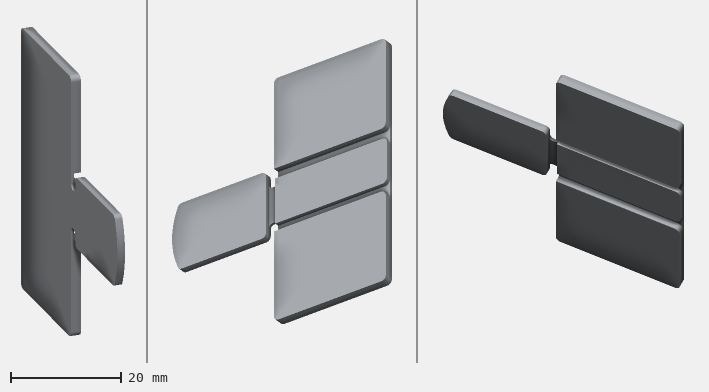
import cadquery as cq

PLATE_LENGTH = 24.95
PLATE_HEIGHT = 51.5
PLATE_THICKNESS = 1.9
CORNER_RADIUS = 1.0

TOTAL_LENGTH = 47.95
TAB_HEIGHT = 14.0
TAB_THICKNESS = 1.5
TAB_END_RADIUS = 16.5
NECK_LENGTH = 2.05
NECK_HEIGHT = 7.6
NECK_THICKNESS = 0.55
NECK_FILLET_RADIUS = 0.8

CHANNEL_HEIGHT = 13.3
RAIL_HEIGHT = 9.6
RAIL_THICKNESS = TAB_THICKNESS
CHANNEL_FLOOR = NECK_THICKNESS
MOUTH_RADIUS = 1.15

TAB_START = PLATE_LENGTH + NECK_LENGTH


def bar(x_start, x_end, height, y_start, y_end):
    """Box centred on Z = 0 between the given X and Y limits."""
    return cq.Workplane("XY").box(
        x_end - x_start, y_end - y_start, height, centered=(False, False, True)
    ).translate((x_start, y_start, 0))


def make_rail():
    """Middle rail of the channel, rounded where it meets the plate's -X edge."""
    rail = bar(0, PLATE_LENGTH, RAIL_HEIGHT, CHANNEL_FLOOR, RAIL_THICKNESS)
    return rail.edges("|Y and <X").fillet(MOUTH_RADIUS)


def make_plate():
    """Rounded plate with the back channel; the channel flares at the -X edge."""
    plate = bar(0, PLATE_LENGTH, PLATE_HEIGHT, 0, PLATE_THICKNESS)
    plate = plate.edges("|Y").fillet(CORNER_RADIUS)
    plate = plate.cut(bar(0, PLATE_LENGTH, CHANNEL_HEIGHT, CHANNEL_FLOOR, PLATE_THICKNESS))
    for side in (-1, 1):
        mouth_edge = cq.selectors.NearestToPointSelector(
            (0, (CHANNEL_FLOOR + PLATE_THICKNESS) / 2, side * CHANNEL_HEIGHT / 2)
        )
        plate = plate.edges(mouth_edge).fillet(MOUTH_RADIUS)
    return plate.union(make_rail())


def make_tab():
    """Grip tab with a bowed +X end and rounded corners."""
    tab = bar(TAB_START, TOTAL_LENGTH, TAB_HEIGHT, 0, TAB_THICKNESS)
    end_disc = (
        cq.Workplane("XZ")
        .center(TOTAL_LENGTH - TAB_END_RADIUS, 0)
        .circle(TAB_END_RADIUS)
        .extrude(-TAB_THICKNESS)
    )
    reach = bar(TAB_START, TOTAL_LENGTH - TAB_END_RADIUS, TAB_HEIGHT, 0, TAB_THICKNESS)
    return tab.intersect(end_disc.union(reach)).edges("|Y").fillet(CORNER_RADIUS)


def make_neck():
    """Thin web between plate and tab that flares with a concave fillet at each of its corners."""
    flared_height = NECK_HEIGHT + 2 * NECK_FILLET_RADIUS
    web = bar(PLATE_LENGTH, TAB_START, flared_height, 0, NECK_THICKNESS)
    notch = bar(PLATE_LENGTH, TAB_START, 2 * NECK_FILLET_RADIUS, 0, NECK_THICKNESS)
    notch_offset = NECK_HEIGHT / 2 + NECK_FILLET_RADIUS
    upper_notch = notch.edges("|Y and <Z").fillet(NECK_FILLET_RADIUS).translate((0, 0, notch_offset))
    return web.cut(upper_notch).cut(upper_notch.mirror("XY"))


result = make_plate().union(make_tab()).union(make_neck())